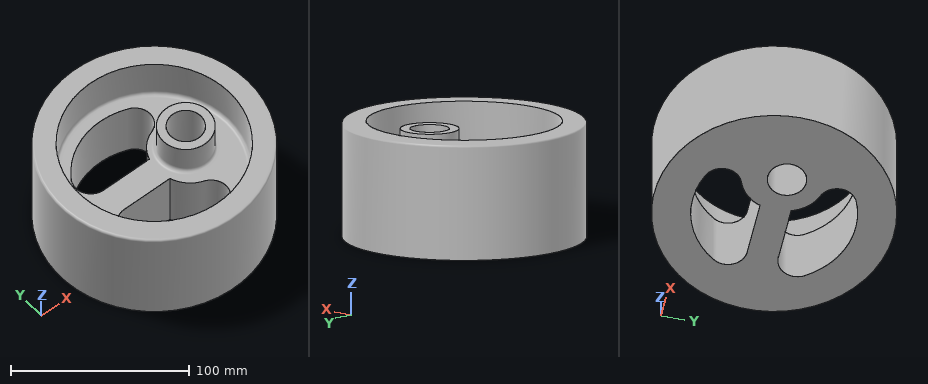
import cadquery as cq
import math

outer_radius = 68.9
height = 66.1
rim_fillet = 1.7

pocket_radius = 55.1
pocket_depth = 27.5
floor_z = height - pocket_depth
root_fillet = 2.8

hub_x = 24.8
hub_y = 1.9
hub_radius = 16.5
bore_radius = 11.0
hub_top_drop = 7.6
hub_height = pocket_depth - hub_top_drop

window_radius = 46.8
window_corner = 11.0
hub_clearance_radius = 22.0
spoke_width = 17.9
spoke_half = spoke_width / 2


def point_on_circle(center, radius, angle):
    return (center[0] + radius * math.cos(angle), center[1] + radius * math.sin(angle))


def direction(start, end):
    return math.atan2(end[1] - start[1], end[0] - start[0])


def make_body():
    body = cq.Workplane("XY").circle(outer_radius).extrude(height)
    body = body.faces(">Z").edges().fillet(rim_fillet)
    pocket = cq.Workplane("XY").workplane(offset=floor_z).circle(pocket_radius).extrude(pocket_depth)
    pocket = pocket.faces("<Z").edges().fillet(root_fillet)
    return body.cut(pocket)


def make_hub():
    """Hub with a concave fillet ring where it meets the pocket floor."""
    foot_radius = hub_radius + root_fillet
    arc_offset = root_fillet * (1 - math.sqrt(0.5))
    profile = (
        cq.Workplane("XZ")
        .lineTo(foot_radius, 0)
        .lineTo(foot_radius, floor_z)
        .threePointArc(
            (hub_radius + arc_offset, floor_z + arc_offset),
            (hub_radius, floor_z + root_fillet),
        )
        .lineTo(hub_radius, floor_z + hub_height)
        .lineTo(0, floor_z + hub_height)
        .close()
    )
    return profile.revolve(360, (0, 0, 0), (0, 1, 0)).translate((hub_x, hub_y, 0))


def make_window():
    """Window above the spoke: outer arc, two rounded ends, hub arc and a straight side."""
    origin = (0, 0)
    hub = (hub_x, hub_y)

    end_reach = window_radius - window_corner
    left_y = spoke_half + window_corner
    left = (-math.sqrt(end_reach**2 - left_y**2), left_y)

    hub_reach = hub_clearance_radius + window_corner
    hub_distance = math.hypot(*hub)
    cos_angle = (end_reach**2 + hub_distance**2 - hub_reach**2) / (2 * end_reach * hub_distance)
    right = point_on_circle(origin, end_reach, direction(origin, hub) + math.acos(cos_angle))

    left_angle = direction(origin, left)
    right_angle = direction(origin, right)
    hub_start_angle = direction(hub, right)
    hub_end_angle = math.pi - math.asin((spoke_half - hub_y) / hub_clearance_radius)
    hub_middle_angle = (hub_start_angle + hub_end_angle) / 2

    return (
        cq.Workplane("XY")
        .moveTo(left[0], spoke_half)
        .threePointArc(
            (left[0] - window_corner, left[1]),
            point_on_circle(origin, window_radius, left_angle),
        )
        .threePointArc(
            point_on_circle(origin, window_radius, (left_angle + right_angle) / 2),
            point_on_circle(origin, window_radius, right_angle),
        )
        .threePointArc(
            (right[0] + window_corner, right[1]),
            point_on_circle(hub, hub_clearance_radius, hub_start_angle),
        )
        .threePointArc(
            point_on_circle(hub, hub_clearance_radius, hub_middle_angle),
            point_on_circle(hub, hub_clearance_radius, hub_end_angle),
        )
        .close()
        .extrude(height)
    )


upper_window = make_window()
lower_window = upper_window.mirror("XZ")
bore = cq.Workplane("XY").center(hub_x, hub_y).circle(bore_radius).extrude(height)

result = make_body().cut(upper_window).cut(lower_window).union(make_hub()).cut(bore)